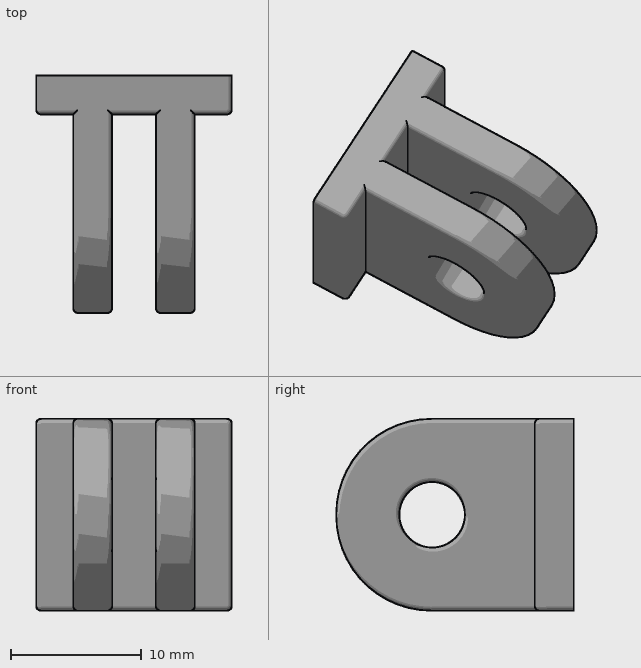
import cadquery as cq

plate_width = 15.0
plate_thickness = 3.0
height = 14.7
overall_depth = 18.2

lug_thickness = 3.0
lug_gap = 3.33
tip_flat = 0.1
tip_radius = (height - tip_flat) / 2

hole_diameter = 5.0
hole_center_y = height / 2

edge_radius = 0.4

plate_front_y = overall_depth - plate_thickness
lug_offset = (lug_gap + lug_thickness) / 2
lugs_half_span = lug_offset + lug_thickness / 2


def make_plate():
    plate_center_y = plate_front_y + plate_thickness / 2
    return (
        cq.Workplane("XY")
        .box(plate_width, plate_thickness, height)
        .translate((0, plate_center_y, 0))
    )


def make_lug(center_x):
    """Lug running the full depth into the plate, with both tip corners rounded."""
    return (
        cq.Workplane("XY")
        .box(lug_thickness, overall_depth, height)
        .edges("|X and <Y")
        .fillet(tip_radius)
        .translate((center_x, overall_depth / 2, 0))
    )


def cut_pin_hole(body):
    hole = (
        cq.Workplane("YZ")
        .center(hole_center_y, 0)
        .circle(hole_diameter / 2)
        .extrude(plate_width, both=True)
    )
    return body.cut(hole)


def edges_between(edges, half_width, min_y, max_y):
    """Those of the edges whose centres lie within the given X and Y limits."""
    limits = cq.selectors.BoxSelector(
        (-half_width, min_y, -height),
        (half_width, max_y, height),
    )
    return edges.edges(limits).vals()


def round_edges(body):
    """Round the outer edges and the hole rims; the back and the lug roots stay sharp."""
    back_edges = body.faces(">Y").edges().vals()
    root_edges = edges_between(
        body.edges("|Z"),
        lugs_half_span + edge_radius,
        plate_front_y - edge_radius,
        plate_front_y + edge_radius,
    )
    tangent_edges = edges_between(
        body.edges("|X"),
        lugs_half_span,
        -edge_radius,
        plate_front_y - edge_radius,
    )
    kept_edges = back_edges + root_edges + tangent_edges

    rounded_edges = [
        edge
        for edge in body.edges().vals()
        if not any(edge.isSame(kept) for kept in kept_edges)
    ]
    return body.newObject(rounded_edges).fillet(edge_radius)


body = make_plate()
for side in (-1, 1):
    body = body.union(make_lug(side * lug_offset))
body = cut_pin_hole(body)

result = cq.Workplane("XY").newObject([round_edges(body).solids().val()])